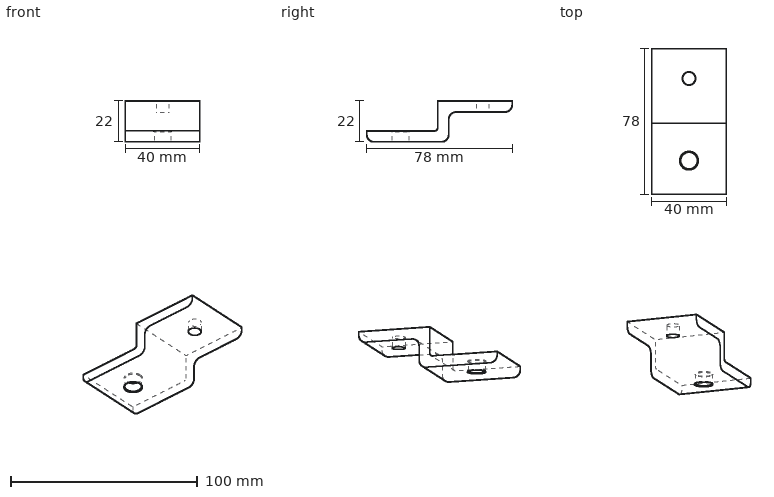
import cadquery as cq

width = 40.0
length = 78.0
height = 22.0

thickness = 6.0
upper_length = 40.0
round_radius = 4.0
step_fillet = 1.55

upper_hole_diameter = 6.9
upper_hole_from_end = 16.0
lower_hole_diameter = 9.0
lower_hole_from_end = 18.0
lower_hole_chamfer = 0.5

front = -length / 2
back = length / 2
web_front = back - upper_length
web_back = web_front + thickness
upper_underside = height - thickness


def make_bracket():
    """Extrude the stepped section across the width, rounding its ends and bends."""
    section = (
        cq.Workplane("YZ")
        .moveTo(front + round_radius, 0)
        .lineTo(web_back - round_radius, 0)
        .radiusArc((web_back, round_radius), -round_radius)
        .lineTo(web_back, upper_underside - round_radius)
        .radiusArc((web_back + round_radius, upper_underside), round_radius)
        .lineTo(back - round_radius, upper_underside)
        .radiusArc((back, upper_underside + round_radius), -round_radius)
        .lineTo(back, height)
        .lineTo(web_front, height)
        .lineTo(web_front, thickness + step_fillet)
        .radiusArc((web_front - step_fillet, thickness), step_fillet)
        .lineTo(front, thickness)
        .lineTo(front, round_radius)
        .radiusArc((front + round_radius, 0), -round_radius)
        .close()
    )
    return section.extrude(width / 2, both=True)


def hole_cutter(y, top, diameter):
    """Cylinder running down from the top face of a plate through its thickness."""
    return cq.Workplane("XY", origin=(0, y, top)).circle(diameter / 2).extrude(-thickness)


def chamfered_hole_cutter(y, top, diameter, chamfer):
    """Hole cutter that flares at 45 degrees where it meets either face of a plate."""
    radius = diameter / 2
    flared_radius = radius + chamfer
    bottom = top - thickness
    profile = (
        cq.Workplane("XZ", origin=(0, y, 0))
        .moveTo(0, bottom)
        .lineTo(flared_radius, bottom)
        .lineTo(radius, bottom + chamfer)
        .lineTo(radius, top - chamfer)
        .lineTo(flared_radius, top)
        .lineTo(0, top)
        .close()
    )
    return profile.revolve(360, (0, 0), (0, 1))


upper_hole_y = back - upper_hole_from_end
lower_hole_y = front + lower_hole_from_end

result = (
    make_bracket()
    .cut(hole_cutter(upper_hole_y, height, upper_hole_diameter))
    .cut(chamfered_hole_cutter(lower_hole_y, thickness, lower_hole_diameter, lower_hole_chamfer))
)